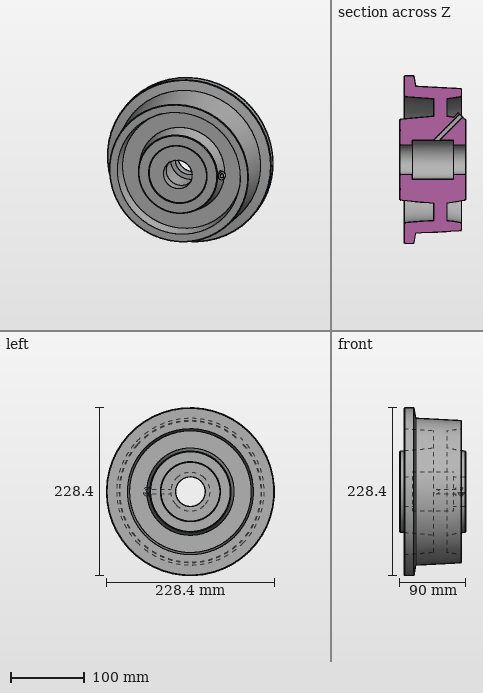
import cadquery as cq
import math

hub_width = 90.0
rim_width = 78.1
web_thickness = 18.3
web_left_x = 1.1
hub_end_x = hub_width / 2
rim_end_x = rim_width / 2
web_right_x = web_left_x + web_thickness

flange_radius = 114.2
flange_land_width = 13.7
flange_slope_width = 2.3
flange_chamfer = 1.0
tread_root_radius = 100.0
tread_end_radius = 96.9
tread_chamfer = 1.0

recess_mouth_radius = 85.7
recess_floor_radius = 82.7
hub_end_radius = 55.3
hub_base_radius = 59.5
hub_chamfer = 1.1

bore_radius = 40.0 / 2
bearing_radius = 80.0 / 2
bearing_groove = 1.0
bearing_width = 17.1
cavity_radius = 53.0 / 2

boss_tilt = math.radians(45)
boss_radius = 5.7
boss_tip_x = 42.5
boss_tip_y = 56.0
boss_length = 18.3
lube_hole_diameter = 5.7
lube_hole_depth = 50.3


def revolve_about_x(points):
    """Revolve a closed (x, radius) outline around the X axis."""
    return cq.Workplane("XY").polyline(points).close().revolve(360, (0, 0, 0), (1, 0, 0))


def make_wheel_body():
    flange_edge_x = -rim_end_x + flange_land_width
    return revolve_about_x([
        (-hub_end_x, bore_radius),
        (-hub_end_x, hub_end_radius - hub_chamfer),
        (-hub_end_x + hub_chamfer, hub_end_radius),
        (web_left_x, hub_base_radius),
        (web_left_x, recess_floor_radius),
        (-rim_end_x, recess_mouth_radius),
        (-rim_end_x, flange_radius - flange_chamfer),
        (-rim_end_x + flange_chamfer, flange_radius),
        (flange_edge_x - flange_chamfer, flange_radius),
        (flange_edge_x, flange_radius - flange_chamfer),
        (flange_edge_x + flange_slope_width, tread_root_radius),
        (rim_end_x - tread_chamfer, tread_end_radius),
        (rim_end_x, tread_end_radius - tread_chamfer),
        (rim_end_x, recess_mouth_radius),
        (web_right_x, recess_floor_radius),
        (web_right_x, hub_base_radius),
        (hub_end_x - hub_chamfer, hub_end_radius),
        (hub_end_x, hub_end_radius - hub_chamfer),
        (hub_end_x, bore_radius),
    ])


def make_bearing_groove(side):
    """V-groove around the bearing seat on the hub face at side * hub_end_x."""
    return revolve_about_x([
        (side * hub_end_x, bearing_radius),
        (side * hub_end_x, bearing_radius + bearing_groove),
        (side * (hub_end_x - bearing_groove), bearing_radius),
    ])


def make_grease_cavity():
    """Wider chamber in the bore between the two bearings."""
    cavity_end_x = hub_end_x - bearing_width
    return revolve_about_x([
        (-cavity_end_x, bore_radius),
        (-cavity_end_x, cavity_radius),
        (cavity_end_x, cavity_radius),
        (cavity_end_x, bore_radius),
    ])


def make_tilted_cylinder(radius, length):
    """Cylinder running inwards from the centre of the boss tip."""
    outward_x = math.cos(boss_tilt)
    outward_y = math.sin(boss_tilt)
    tip_centre = cq.Vector(
        boss_tip_x - boss_radius * outward_y,
        boss_tip_y + boss_radius * outward_x,
        0,
    )
    inward = cq.Vector(-outward_x, -outward_y, 0)
    return cq.Workplane(cq.Solid.makeCylinder(radius, length, tip_centre, inward))


wheel = make_wheel_body()
for side in (-1, 1):
    wheel = wheel.cut(make_bearing_groove(side))

wheel = wheel.union(make_tilted_cylinder(boss_radius, boss_length))
wheel = wheel.cut(make_grease_cavity())
result = wheel.cut(make_tilted_cylinder(lube_hole_diameter / 2, lube_hole_depth))